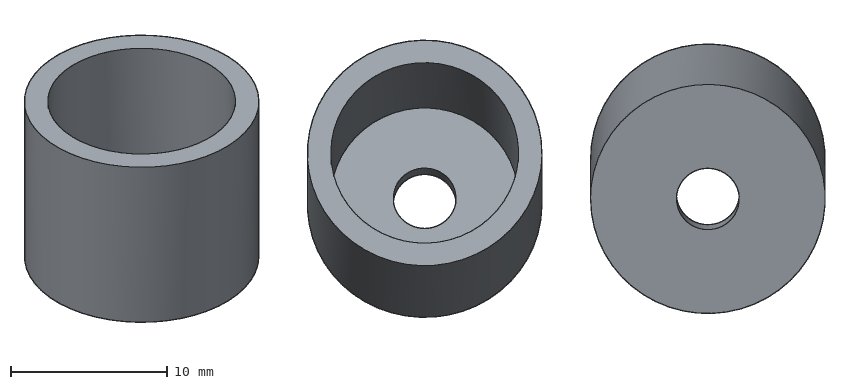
import cadquery as cq

outer_diameter = 15.0
height = 12.0
wall_thickness = 1.5
floor_thickness = wall_thickness
floor_hole_diameter = 4.0

bore_diameter = outer_diameter - 2 * wall_thickness
bore_depth = height - floor_thickness

body = cq.Workplane("XY").circle(outer_diameter / 2).extrude(height)

result = body.faces(">Z").workplane().cboreHole(floor_hole_diameter, bore_diameter, bore_depth)